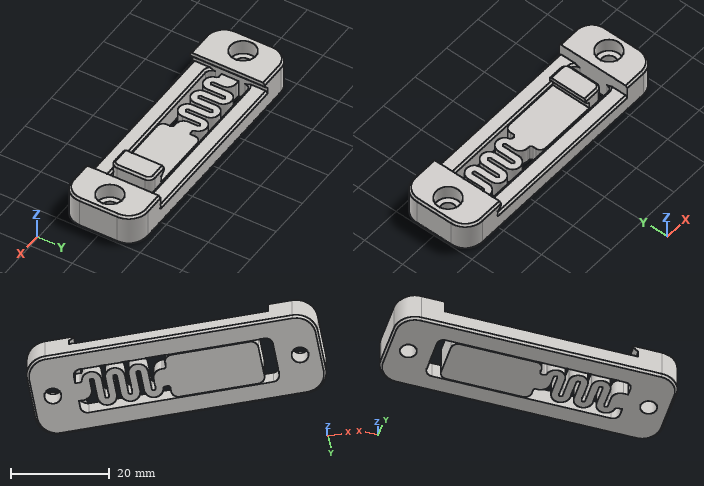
import cadquery as cq

LENGTH = 60.0
WIDTH = 18.0
HEIGHT = 7.6
CORNER_RADIUS = 4.5
EDGE_CHAMFER = 0.5

GAP_HALF_LENGTH = 20.5
RAIL_HEIGHT = 4.6
LIP = 1.0

SLOT_WIDTH = 10.0
SLOT_CORNER_RADIUS = 1.5

HOLE_SPACING = 51.0
HOLE_DIAMETER = 3.4
COUNTERBORE_DIAMETER = 6.0
COUNTERBORE_DEPTH = 3.5

SLIDER_HEIGHT = 4.15
SLIDER_CLEARANCE = 0.2
SLIDER_LEFT = -1.75
SLIDER_RIGHT = 17.5
SLIDER_CORNER_RADIUS = 1.5
HOOK_LEFT = 12.5

LEG_PITCH = 2.4
LEG_WIDTH = 1.6
FIRST_LEG_X = -18.3
BEND_COUNT = 6
BEND_Y = 2.05
ROOT_FILLET = 0.5

SLIDER_WIDTH = SLOT_WIDTH - 2 * SLIDER_CLEARANCE
BEND_OUTER_RADIUS = (LEG_PITCH + LEG_WIDTH) / 2
BEND_INNER_RADIUS = (LEG_PITCH - LEG_WIDTH) / 2
LAST_LEG_X = FIRST_LEG_X + BEND_COUNT * LEG_PITCH
LIP_NOSE_Z = HEIGHT - LIP
LIP_ROOT_Z = LIP_NOSE_Z - LIP


def block(x_min, x_max, y_min, y_max, z_min, z_max):
    """Box given by its limits along each axis."""
    size = (x_max - x_min, y_max - y_min, z_max - z_min)
    return cq.Workplane("XY").box(*size, centered=False).translate((x_min, y_min, z_min))


def side_profile(points, width):
    """Prism across Y, centred on the XZ plane, from (x, z) points."""
    return cq.Workplane("XZ").polyline(points).close().extrude(width / 2, both=True)


def make_frame():
    """Bar with end blocks, side rails, open slot and screw holes."""
    frame = cq.Workplane("XY").box(LENGTH, WIDTH, HEIGHT, centered=(True, True, False))
    frame = frame.edges("|Z").fillet(CORNER_RADIUS)
    frame = frame.faces("<Z or >Z").edges().chamfer(EDGE_CHAMFER)

    lip_x = LIP - GAP_HALF_LENGTH
    gap_outline = [
        (-GAP_HALF_LENGTH, RAIL_HEIGHT),
        (GAP_HALF_LENGTH, RAIL_HEIGHT),
        (GAP_HALF_LENGTH, HEIGHT),
        (lip_x, HEIGHT),
        (lip_x, LIP_NOSE_Z),
        (-GAP_HALF_LENGTH, LIP_ROOT_Z),
    ]
    frame = frame.cut(side_profile(gap_outline, WIDTH))

    for side in (-1, 1):
        rail_edge = cq.selectors.NearestToPointSelector((0, side * WIDTH / 2, RAIL_HEIGHT))
        frame = frame.edges(rail_edge).chamfer(EDGE_CHAMFER)

    frame = frame.cut(make_slot())
    hole_plane = frame.faces(">Z").workplane(origin=(0, 0, HEIGHT))
    return hole_plane.rarray(HOLE_SPACING, 0.6, 2, 1).cboreHole(
        HOLE_DIAMETER, COUNTERBORE_DIAMETER, COUNTERBORE_DEPTH
    )


def make_slot():
    """Rounded slot flaring out at the top of the rails, but not into the end blocks."""
    slot_length = 2 * GAP_HALF_LENGTH
    slot = cq.Workplane("XY").rect(slot_length, SLOT_WIDTH).extrude(RAIL_HEIGHT)
    slot = slot.edges("|Z").fillet(SLOT_CORNER_RADIUS)

    flare_depth = 2 * EDGE_CHAMFER
    flare = (
        cq.Workplane("XY", origin=(0, 0, RAIL_HEIGHT - EDGE_CHAMFER))
        .rect(slot_length + flare_depth, SLOT_WIDTH + flare_depth)
        .extrude(flare_depth)
        .edges("|Z")
        .fillet(SLOT_CORNER_RADIUS + EDGE_CHAMFER)
        .faces("<Z")
        .edges()
        .chamfer(EDGE_CHAMFER)
    )
    between_blocks = block(
        -GAP_HALF_LENGTH, GAP_HALF_LENGTH, -WIDTH / 2, WIDTH / 2, 0, RAIL_HEIGHT
    )
    return slot.union(flare.intersect(between_blocks))


def make_leg(x, y_min, y_max):
    """Straight spring leg along Y."""
    return block(x - LEG_WIDTH / 2, x + LEG_WIDTH / 2, y_min, y_max, 0, SLIDER_HEIGHT)


def make_bend(x, side):
    """Half ring joining two legs; side is +1 for a bend at +Y, -1 for one at -Y."""
    ring = cq.Workplane("XY").circle(BEND_OUTER_RADIUS).circle(BEND_INNER_RADIUS)
    ring = ring.extrude(SLIDER_HEIGHT)
    reach = BEND_OUTER_RADIUS
    y_min, y_max = sorted((0, side * reach))
    half = ring.intersect(block(-reach, reach, y_min, y_max, 0, SLIDER_HEIGHT))
    return half.translate((x, side * BEND_Y, 0))


def make_anchor(x_min, x_max, rounded_corner):
    """Solid end of the spring with one large rounded corner."""
    anchor = block(x_min, x_max, -BEND_Y, BEND_Y, 0, SLIDER_HEIGHT)
    return anchor.edges("|Z").edges(rounded_corner).fillet(BEND_OUTER_RADIUS)


def make_spring():
    """Meander spring from the left end block to the slider."""
    frame_anchor = make_anchor(-GAP_HALF_LENGTH, FIRST_LEG_X + LEG_WIDTH / 2, ">X and >Y")
    slider_anchor = make_anchor(LAST_LEG_X - LEG_WIDTH / 2, SLIDER_LEFT, "<X and <Y")
    spring = frame_anchor.union(slider_anchor)

    spring = spring.union(make_leg(FIRST_LEG_X, -BEND_Y, 0))
    spring = spring.union(make_leg(LAST_LEG_X, 0, BEND_Y))
    for i in range(1, BEND_COUNT):
        spring = spring.union(make_leg(FIRST_LEG_X + i * LEG_PITCH, -BEND_Y, BEND_Y))
    for i in range(BEND_COUNT):
        side = -1 if i % 2 == 0 else 1
        spring = spring.union(make_bend(FIRST_LEG_X + (i + 0.5) * LEG_PITCH, side))
    return spring


def make_slider():
    """Flat plate carrying a hook that faces the lip of the left end block."""
    half_width = SLIDER_WIDTH / 2
    plate = block(SLIDER_LEFT, SLIDER_RIGHT, -half_width, half_width, 0, SLIDER_HEIGHT)
    plate = plate.edges("|Z").fillet(SLIDER_CORNER_RADIUS)

    hook = block(HOOK_LEFT, SLIDER_RIGHT, -half_width, half_width, 0, HEIGHT)
    hook = hook.edges("|Z and >X").fillet(SLIDER_CORNER_RADIUS)
    hook = hook.faces(">Z").edges("not <X").chamfer(EDGE_CHAMFER)
    stem_x = HOOK_LEFT + LIP
    undercut = [
        (HOOK_LEFT, 0),
        (stem_x, 0),
        (stem_x, LIP_ROOT_Z),
        (HOOK_LEFT, LIP_NOSE_Z),
    ]
    return plate.union(hook.cut(side_profile(undercut, WIDTH)))


def fillet_upright_edge(solid, x, y, radius):
    """Round the vertical spring edge that stands at (x, y)."""
    edge = cq.selectors.NearestToPointSelector((x, y, SLIDER_HEIGHT / 2))
    return solid.edges("|Z").edges(edge).fillet(radius)


result = make_frame().union(make_spring()).union(make_slider())

for side in (-1, 1):
    result = fillet_upright_edge(result, SLIDER_LEFT, side * BEND_Y, ROOT_FILLET)
first_notch_x = FIRST_LEG_X - LEG_WIDTH / 2
last_notch_x = LAST_LEG_X + LEG_WIDTH / 2
result = fillet_upright_edge(result, first_notch_x, -BEND_Y, ROOT_FILLET)
result = fillet_upright_edge(result, last_notch_x, BEND_Y, ROOT_FILLET)